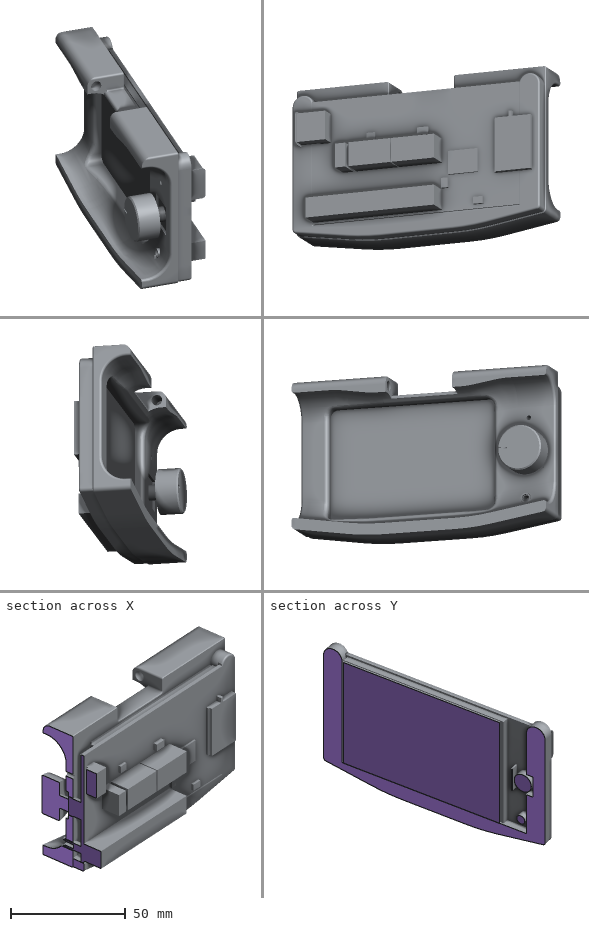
import cadquery as cq
import math


LENGTH = 117.0
HEIGHT = 71.0
HOUSING_DEPTH = 17.0
HALF = LENGTH / 2

SLOPE = math.radians(8.8)
BEND_START = 16.7
BEND_END = 32.8
BOTTOM_CORNER_R = 2.0
TOP_FRONT_R = 3.9
TOP_END_R = 0.9
BACK_CHAMFER = 0.4

FLOOR_Y = -4.0
LIP = 5.0
CAVITY_R = 10.8
CEILING_MID_Z = 63.4
CEILING_MID_HALF = 19.0
CEILING_BEND = 6.1
CEILING_RAMP = 10.1
CEILING_SLOPE = math.radians(8.7)
CEILING_BEND_RISE = CEILING_BEND * math.tan(CEILING_SLOPE / 2)
CEILING_RAMP_RISE = CEILING_RAMP * math.tan(CEILING_SLOPE)
CEILING_END_Z = CEILING_MID_Z + 2 * CEILING_BEND_RISE + CEILING_RAMP_RISE
CAVITY_END_R = 1.0
OVERCUT = 5.8
MARGIN = 0.6

WINDOW_X = (-46.1, 30.1)
WINDOW_Z = (10.3, 60.5)
WINDOW_CORNER_R = 3.4
WINDOW_EDGE_R = 1.8

NOTCH_HALF = 15.2
NOTCH_CORNER_R = 0.8
BRIDGE_FRONT_Y = -9.2
BRIDGE_CLEAR_Z = 60.8
BRIDGE_R = 1.2

CLIP_HOLE_D = 4.7
CLIP_HOLE_Y = -12.9
CLIP_HOLE_Z = 66.8
CLIP_HOLE_DEPTH = 9.4

KNOB_X = 46.2
KNOB_Z = 34.3
LIGHT_HOLE_D = 2.1
LIGHT_HOLE_Z = 50.2
POT_SIDE = 13.8
POT_RECESS_DEPTH = 1.2
BUSHING_D = 9.1

JACK_X = 45.2
JACK_Z = 14.3
JACK_HOLE_D = 4.7
JACK_D = 4.5
JACK_BORE_D = 3.3
JACK_INNER_D = 2.8
JACK_FRONT_Y = -5.5
JACK_BORE_DEPTH = 1.2

FRAME_DEPTH = 6.3
FRAME_INSET = 0.5
POST_WIDTH = 10.0
POST_TOP_Z = 66.9
FRAME_EDGE_R = 0.8
FRAME_INNER_Z = 8.2
POT_POCKET_SIDE = 10.5

BOARD_HALF = 48.7
BOARD_T = 1.9
BOARD_FRONT_Y = FRAME_DEPTH - BOARD_T
BOARD_Z = (FRAME_INNER_Z, 63.4)
BOARD_CLEARANCE = 0.7
DISPLAY_X = (-47.7, 35.9)
DISPLAY_Y = (1.5, BOARD_FRONT_Y)
DISPLAY_Z = (FRAME_INNER_Z, 62.5)
GLASS_TOP_Z = 62.0
GLASS_RIGHT = 34.0

SOCKET_BACK_Y = 16.0
UPPER_SOCKETS_X = [(-12.4, 7.7), (8.2, 27.7), (29.2, 34.0)]
UPPER_SOCKET_Z = (30.3, 41.1)
LOWER_SOCKET_X = (-12.4, 47.9)
LOWER_SOCKET_Z = (9.1, 18.1)

CARD_SLOT_BACK_Y = 9.0
CARD_SLOT_X = (-54.9, -38.3)
CARD_SLOT_Z = (23.3, 47.5)
CARD_LATCH_X = (-46.0, -44.6)
CARD_LATCH_TOP_Z = 50.0
CARD_STEP_RIGHT = -37.5

CHIP_BACK_Y = 7.6
CORNER_CHIP = ((-31.9, -27.4), (10.1, 13.2))
SMALL_CHIP = ((-15.5, -12.4), (18.7, 23.2))
UPPER_CHIP = ((18.6, 22.6), (43.3, 46.8))
WIDE_CHIP_BACK_Y = 7.3
WIDE_CHIP = ((-29.2, -15.5), (24.6, 35.1))
TALL_CHIP_BACK_Y = 8.3
TALL_CHIP = ((-6.4, -1.3), (43.3, 46.8))

PLUG_X = (39.7, 53.1)
PLUG_Y = (7.5, 13.5)
PLUG_Z = (44.2, 57.1)
PLUG_FOOT_RIGHT = 44.6
PLUG_FLANGE_T = 0.4
PLUG_FLANGE_Y = (6.8, 14.2)
PLUG_FLANGE_Z = (43.2, 58.0)
PLUG_FLANGE_CORNER_R = 1.6

STRIP_X = (40.2, 41.0)
STRIP_Z = (28.1, 39.8)

KNOB_D = 20.0
KNOB_FACE_D = 18.8
KNOB_FRONT_Y = -17.7
KNOB_BACK_Y = -7.6
SHAFT_D = 6.8
MARK_LENGTH = 4.0
MARK_WIDTH = 0.8
MARK_DEPTH = 0.4


def box(x, y, z):
    """Box between the given (low, high) limits on each axis."""
    return cq.Workplane("XY").box(
        x[1] - x[0], y[1] - y[0], z[1] - z[0], centered=False
    ).translate((x[0], y[0], z[0]))


def rod(diameter, x, z, y_front, y_back):
    """Cylinder along Y."""
    return (
        cq.Workplane("XZ", origin=(x, y_back, z))
        .circle(diameter / 2)
        .extrude(y_back - y_front)
    )


def bend_height(x):
    """Height of the lower edge above its flat middle, at distance x from the centre."""
    radius = (BEND_END - BEND_START) / math.sin(SLOPE)
    if x <= BEND_START:
        return 0.0
    if x <= BEND_END:
        return radius - math.sqrt(radius**2 - (x - BEND_START) ** 2)
    return radius * (1 - math.cos(SLOPE)) + (x - BEND_END) * math.tan(SLOPE)


def lower_edge(outline, half, z):
    """Draw the bowed lower edge from (-half) to (+half); the outline must already stand at its left end."""
    middle = (BEND_START + BEND_END) / 2
    return (
        outline
        .lineTo(-BEND_END, z + bend_height(BEND_END))
        .threePointArc((-middle, z + bend_height(middle)), (-BEND_START, z))
        .lineTo(BEND_START, z)
        .threePointArc((middle, z + bend_height(middle)), (BEND_END, z + bend_height(BEND_END)))
        .lineTo(half, z + bend_height(half))
    )


def housing_blank():
    outline = cq.Workplane("XZ").moveTo(-HALF, bend_height(HALF))
    blank = (
        lower_edge(outline, HALF, 0)
        .lineTo(HALF, HEIGHT)
        .lineTo(NOTCH_HALF, HEIGHT)
        .lineTo(NOTCH_HALF, CEILING_MID_Z)
        .lineTo(-NOTCH_HALF, CEILING_MID_Z)
        .lineTo(-NOTCH_HALF, HEIGHT)
        .lineTo(-HALF, HEIGHT)
        .close()
        .extrude(HOUSING_DEPTH)
    )
    corner_height = bend_height(HALF)
    corners = cq.selectors.BoxSelector(
        (-HALF - MARGIN, -HOUSING_DEPTH, corner_height - MARGIN),
        (HALF + MARGIN, 0, corner_height + MARGIN),
    )
    blank = blank.edges("|Y").edges(corners).fillet(BOTTOM_CORNER_R)
    notch_corners = cq.selectors.BoxSelector(
        (-NOTCH_HALF - MARGIN, -HOUSING_DEPTH, CEILING_MID_Z - MARGIN),
        (NOTCH_HALF + MARGIN, 0, CEILING_MID_Z + MARGIN),
    )
    blank = blank.edges("|Y").edges(notch_corners).fillet(NOTCH_CORNER_R)
    blank = blank.faces(">Z").edges("|Y").fillet(TOP_END_R)
    side_profile = (
        box((-HALF, HALF), (-HOUSING_DEPTH, 0), (0, HEIGHT))
        .faces("<Y")
        .edges(">Z")
        .fillet(TOP_FRONT_R)
    )
    return blank.intersect(side_profile)


def bridge_front():
    """Cutter that clears the notch in front of the bridge and rounds the bridge's front edge."""
    flat_y = BRIDGE_FRONT_Y + BRIDGE_R
    return (
        cq.Workplane("YZ", origin=(-NOTCH_HALF, 0, 0))
        .moveTo(-HOUSING_DEPTH, BRIDGE_CLEAR_Z)
        .lineTo(BRIDGE_FRONT_Y, BRIDGE_CLEAR_Z)
        .lineTo(BRIDGE_FRONT_Y, CEILING_MID_Z - BRIDGE_R)
        .radiusArc((flat_y, CEILING_MID_Z), BRIDGE_R)
        .lineTo(flat_y, HEIGHT)
        .lineTo(-HOUSING_DEPTH, HEIGHT)
        .close()
        .extrude(2 * NOTCH_HALF)
    )


def grip_cavity():
    """Open-ended trough between the lower lip and the stepped ceiling, with rounded inner corners."""
    half = HALF + OVERCUT
    ramp_low = (CEILING_MID_HALF + CEILING_BEND, CEILING_MID_Z + CEILING_BEND_RISE)
    ramp_high = (ramp_low[0] + CEILING_RAMP, ramp_low[1] + CEILING_RAMP_RISE)
    end_start = ramp_high[0] + CEILING_BEND
    outline = cq.Workplane("XZ", origin=(0, FLOOR_Y, 0)).moveTo(-half, LIP + bend_height(half))
    trough = (
        lower_edge(outline, half, LIP)
        .lineTo(half, CEILING_END_Z)
        .lineTo(end_start, CEILING_END_Z)
        .tangentArcPoint(ramp_high, relative=False)
        .lineTo(*ramp_low)
        .tangentArcPoint((CEILING_MID_HALF, CEILING_MID_Z), relative=False)
        .lineTo(-CEILING_MID_HALF, CEILING_MID_Z)
        .tangentArcPoint((-ramp_low[0], ramp_low[1]), relative=False)
        .lineTo(-ramp_high[0], ramp_high[1])
        .tangentArcPoint((-end_start, CEILING_END_Z), relative=False)
        .lineTo(-half, CEILING_END_Z)
        .close()
        .extrude(HOUSING_DEPTH + FLOOR_Y + OVERCUT)
    )
    return trough.faces(">Y").edges("not |Z").fillet(CAVITY_R)


def window():
    width = WINDOW_X[1] - WINDOW_X[0]
    height = WINDOW_Z[1] - WINDOW_Z[0]
    centre = ((WINDOW_X[0] + WINDOW_X[1]) / 2, 0, (WINDOW_Z[0] + WINDOW_Z[1]) / 2)
    return (
        cq.Workplane("XZ", origin=centre)
        .rect(width, height)
        .extrude(HOUSING_DEPTH)
        .edges("|Y")
        .fillet(WINDOW_CORNER_R)
    )


def make_housing():
    housing = housing_blank().cut(bridge_front()).cut(grip_cavity())
    for side in (-1, 1):
        rim = cq.selectors.BoxSelector(
            (side * HALF - MARGIN, -HOUSING_DEPTH, LIP + bend_height(HALF) - MARGIN),
            (side * HALF + MARGIN, FLOOR_Y + MARGIN, CEILING_END_Z + MARGIN),
        )
        housing = housing.edges(rim).fillet(CAVITY_END_R)
    housing = housing.faces(">Y").edges().chamfer(BACK_CHAMFER)
    housing = housing.cut(window())
    window_rims = cq.selectors.BoxSelector(
        (WINDOW_X[0] - MARGIN, FLOOR_Y - MARGIN, WINDOW_Z[0]),
        (WINDOW_X[1] + MARGIN, FLOOR_Y + MARGIN, WINDOW_Z[1]),
    )
    housing = housing.edges(window_rims).edges("|Z").fillet(WINDOW_EDGE_R)
    for side in (-1, 1):
        housing = housing.cut(
            cq.Workplane("YZ", origin=(side * NOTCH_HALF, CLIP_HOLE_Y, CLIP_HOLE_Z))
            .circle(CLIP_HOLE_D / 2)
            .extrude(side * CLIP_HOLE_DEPTH)
        )
    housing = housing.cut(rod(LIGHT_HOLE_D, KNOB_X, LIGHT_HOLE_Z, -HOUSING_DEPTH, 0))
    housing = housing.cut(rod(JACK_HOLE_D, JACK_X, JACK_Z, -HOUSING_DEPTH, 0))
    housing = housing.cut(rod(BUSHING_D, KNOB_X, KNOB_Z, FLOOR_Y, 0))
    return housing.cut(
        box(
            (KNOB_X - POT_SIDE / 2, KNOB_X + POT_SIDE / 2),
            (FLOOR_Y, FLOOR_Y + POT_RECESS_DEPTH),
            (KNOB_Z - POT_SIDE / 2, KNOB_Z + POT_SIDE / 2),
        )
    )


def make_frame():
    """U-shaped frame behind the housing: two posts, with a board ledge, joined by a bowed bar."""
    half = HALF - FRAME_INSET
    outline = cq.Workplane("XZ").moveTo(-half, FRAME_INSET + bend_height(half))
    shoulder_z = POST_TOP_Z - POST_WIDTH / 2
    inner = half - POST_WIDTH
    post_middle = half - POST_WIDTH / 2
    frame = (
        lower_edge(outline, half, FRAME_INSET)
        .lineTo(half, shoulder_z)
        .threePointArc((post_middle, POST_TOP_Z), (inner, shoulder_z))
        .lineTo(inner, FRAME_INNER_Z)
        .lineTo(-inner, FRAME_INNER_Z)
        .lineTo(-inner, shoulder_z)
        .threePointArc((-post_middle, POST_TOP_Z), (-half, shoulder_z))
        .close()
        .extrude(-FRAME_DEPTH)
    )
    corner_height = FRAME_INSET + bend_height(half)
    corners = cq.selectors.BoxSelector(
        (-HALF, 0, corner_height - MARGIN), (HALF, FRAME_DEPTH, corner_height + MARGIN)
    )
    frame = frame.edges("|Y").edges(corners).fillet(BOTTOM_CORNER_R - FRAME_INSET)
    frame = frame.faces(">Y").edges().fillet(FRAME_EDGE_R)
    ledge_y = BOARD_FRONT_Y - BOARD_CLEARANCE
    frame = frame.cut(box((-BOARD_HALF, BOARD_HALF), (ledge_y, FRAME_DEPTH), (BOARD_Z[0], POST_TOP_Z)))
    return frame.cut(
        box(
            (KNOB_X - POT_POCKET_SIDE / 2, KNOB_X + POT_POCKET_SIDE / 2),
            (0, BOARD_FRONT_Y),
            (KNOB_Z - POT_POCKET_SIDE / 2, KNOB_Z + POT_POCKET_SIDE / 2),
        )
    )


def display():
    """Display panel with a slightly smaller cover glass in front."""
    panel = box(DISPLAY_X, DISPLAY_Y, DISPLAY_Z)
    glass = box((DISPLAY_X[0], GLASS_RIGHT), (0, DISPLAY_Y[0]), (DISPLAY_Z[0], GLASS_TOP_Z))
    return panel.union(glass)


def back_part(x, z, back_y):
    """Rectangular part standing on the back of the board."""
    return box(x, (FRAME_DEPTH, back_y), z)


def sockets():
    upper = [back_part(x, UPPER_SOCKET_Z, SOCKET_BACK_Y) for x in UPPER_SOCKETS_X]
    return upper + [back_part(LOWER_SOCKET_X, LOWER_SOCKET_Z, SOCKET_BACK_Y)]


def card_slot():
    """Card slot with a latch on top and a low step at its right end."""
    return [
        back_part(CARD_SLOT_X, CARD_SLOT_Z, CARD_SLOT_BACK_Y),
        back_part(CARD_LATCH_X, (CARD_SLOT_Z[1], CARD_LATCH_TOP_Z), CARD_SLOT_BACK_Y),
        back_part((CARD_SLOT_X[1], CARD_STEP_RIGHT), CARD_SLOT_Z, CHIP_BACK_Y),
    ]


def chips():
    low = [back_part(*chip, CHIP_BACK_Y) for chip in (CORNER_CHIP, SMALL_CHIP, UPPER_CHIP)]
    return low + [back_part(*WIDE_CHIP, WIDE_CHIP_BACK_Y), back_part(*TALL_CHIP, TALL_CHIP_BACK_Y)]


def plug():
    """Plug housing on a foot, with a round-cornered flange at its outer end."""
    flange = box((PLUG_X[1], PLUG_X[1] + PLUG_FLANGE_T), PLUG_FLANGE_Y, PLUG_FLANGE_Z)
    return [
        back_part((PLUG_X[0], PLUG_FOOT_RIGHT), PLUG_Z, PLUG_Y[0]),
        box(PLUG_X, PLUG_Y, PLUG_Z),
        flange.edges("|X").fillet(PLUG_FLANGE_CORNER_R),
    ]


def front_controls():
    """Rotary control and jack reaching forward into the housing, and the strip beside them."""
    return [
        rod(BUSHING_D, KNOB_X, KNOB_Z, FLOOR_Y + POT_RECESS_DEPTH, BOARD_FRONT_Y),
        rod(JACK_D, JACK_X, JACK_Z, JACK_FRONT_Y, BOARD_FRONT_Y),
        box(STRIP_X, (0, BOARD_FRONT_Y), STRIP_Z),
    ]


def make_electronics():
    """Circuit board with the display and all the parts soldered to it, as one solid."""
    electronics = box((-BOARD_HALF, BOARD_HALF), (BOARD_FRONT_Y, FRAME_DEPTH), BOARD_Z).union(display())
    for part in sockets() + card_slot() + chips() + plug() + front_controls():
        electronics = electronics.union(part)
    electronics = electronics.cut(
        rod(JACK_BORE_D, JACK_X, JACK_Z, JACK_FRONT_Y, JACK_FRONT_Y + JACK_BORE_DEPTH)
    )
    return electronics.cut(rod(JACK_INNER_D, JACK_X, JACK_Z, JACK_FRONT_Y, 0))


def make_knob():
    knob = rod(KNOB_D, KNOB_X, KNOB_Z, KNOB_FRONT_Y, KNOB_BACK_Y)
    knob = knob.faces("<Y").edges().chamfer((KNOB_D - KNOB_FACE_D) / 2)
    knob = knob.union(rod(SHAFT_D, KNOB_X, KNOB_Z, KNOB_BACK_Y, FLOOR_Y + POT_RECESS_DEPTH))
    mark_start = KNOB_X - KNOB_FACE_D / 2
    return knob.cut(
        box(
            (mark_start, mark_start + MARK_LENGTH),
            (KNOB_FRONT_Y, KNOB_FRONT_Y + MARK_DEPTH),
            (KNOB_Z - MARK_WIDTH / 2, KNOB_Z + MARK_WIDTH / 2),
        )
    )


housing = make_housing()
frame = make_frame()
electronics = make_electronics()
knob = make_knob()
result = cq.Compound.makeCompound([housing.val(), frame.val(), electronics.val(), knob.val()])